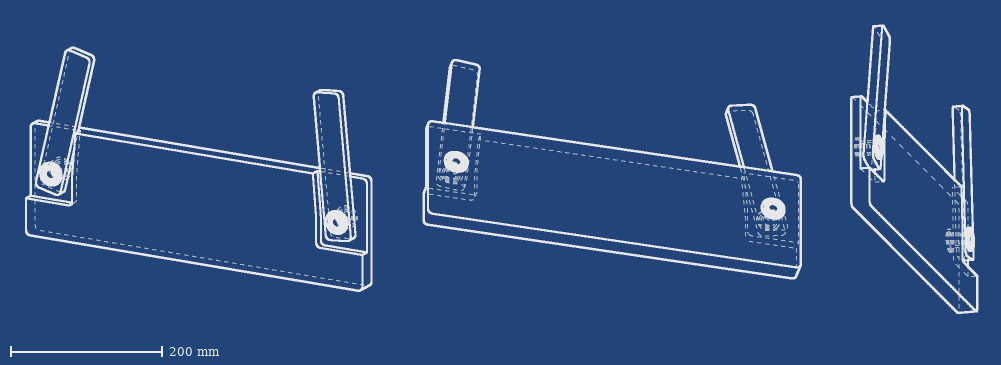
import cadquery as cq

BOARD_LENGTH = 508.0
BOARD_HEIGHT = 152.5
BOARD_THICKNESS = 25.5
CORNER_RADIUS = 6.35

PIVOT_INSET = 38.0
PIVOT_X = BOARD_LENGTH / 2 - PIVOT_INSET
PIVOT_Z = 90.5

POCKET_DEPTH = BOARD_THICKNESS / 2
POCKET_BOTTOM_Z = 51.0
POCKET_WIDTH_BOTTOM = 69.5
POCKET_WIDTH_TOP = 74.5
POCKET_BEND_Z = PIVOT_Z
POCKET_RADIUS = 6.0

ARM_LENGTH = 203.0
ARM_WIDTH = 38.0
ARM_THICKNESS = POCKET_DEPTH
ARM_TAIL = 25.5
LEFT_ARM_TILT = 13.3
RIGHT_ARM_TILT = -5.5

BORE_DIAMETER = 13.5
BARREL_DIAMETER = 19.5
FLANGE_DIAMETER = 31.0
FLANGE_THICKNESS = 2.0
GROOVE_DIAMETER = 24.5
GROOVE_DEPTH = 0.5


def y_cylinder(x, diameter, y_start, y_end):
    """Cylinder along Y through the pivot at x."""
    return (
        cq.Workplane("XZ", origin=(x, y_start, PIVOT_Z))
        .circle(diameter / 2)
        .extrude(y_start - y_end)
    )


def make_pocket(side):
    """Cutter for one corner pocket; side is -1 for the left end and 1 for the right end."""
    end_x = side * BOARD_LENGTH / 2
    wall_bottom_x = end_x - side * POCKET_WIDTH_BOTTOM
    wall_top_x = end_x - side * POCKET_WIDTH_TOP
    return (
        cq.Workplane("XZ")
        .moveTo(end_x, POCKET_BOTTOM_Z)
        .lineTo(wall_bottom_x + side * POCKET_RADIUS, POCKET_BOTTOM_Z)
        .tangentArcPoint((wall_bottom_x, POCKET_BOTTOM_Z + POCKET_RADIUS), relative=False)
        .lineTo(wall_bottom_x, POCKET_BEND_Z)
        .lineTo(wall_top_x, BOARD_HEIGHT)
        .lineTo(end_x, BOARD_HEIGHT)
        .close()
        .extrude(-POCKET_DEPTH)
    )


def make_board():
    """Rounded board with its two pockets and the holes for the rear bushings."""
    board = (
        cq.Workplane("XZ")
        .center(0, BOARD_HEIGHT / 2)
        .rect(BOARD_LENGTH, BOARD_HEIGHT)
        .extrude(-BOARD_THICKNESS)
        .edges("|Y")
        .fillet(CORNER_RADIUS)
    )
    for side in (-1, 1):
        board = board.cut(make_pocket(side))
        board = board.cut(y_cylinder(side * PIVOT_X, BARREL_DIAMETER, POCKET_DEPTH, BOARD_THICKNESS))
    return board


def make_arm(x, tilt):
    """Arm on the pivot at x, leaning toward +X by tilt degrees from upright."""
    arm = (
        cq.Workplane("XZ")
        .center(x, PIVOT_Z + ARM_LENGTH / 2 - ARM_TAIL)
        .rect(ARM_WIDTH, ARM_LENGTH)
        .extrude(-ARM_THICKNESS)
        .edges("|Y")
        .fillet(CORNER_RADIUS)
        .rotate((x, 0, PIVOT_Z), (x, 1, PIVOT_Z), tilt)
    )
    return arm.cut(y_cylinder(x, BARREL_DIAMETER, 0, ARM_THICKNESS))


def make_bushing(x, face_y, outward):
    """Bushing from the face at face_y to the pocket floor; outward is its flange's Y direction."""
    flange_y = face_y + outward * FLANGE_THICKNESS
    flange = y_cylinder(x, FLANGE_DIAMETER, face_y, flange_y)
    barrel = y_cylinder(x, BARREL_DIAMETER, face_y, POCKET_DEPTH)
    bore = y_cylinder(x, BORE_DIAMETER, flange_y, POCKET_DEPTH)
    groove_floor_y = flange_y - outward * GROOVE_DEPTH
    groove = y_cylinder(x, GROOVE_DIAMETER, flange_y, groove_floor_y).cut(
        y_cylinder(x, BARREL_DIAMETER, flange_y, groove_floor_y)
    )
    return flange.union(barrel).cut(groove).cut(bore)


board = make_board()
arms = [make_arm(-PIVOT_X, LEFT_ARM_TILT), make_arm(PIVOT_X, RIGHT_ARM_TILT)]
bushings = []
for side in (-1, 1):
    bushings.append(make_bushing(side * PIVOT_X, 0, -1))
    bushings.append(make_bushing(side * PIVOT_X, BOARD_THICKNESS, 1))

result = cq.Compound.makeCompound(
    [board.val(), *[arm.val() for arm in arms], *[bushing.val() for bushing in bushings]]
)